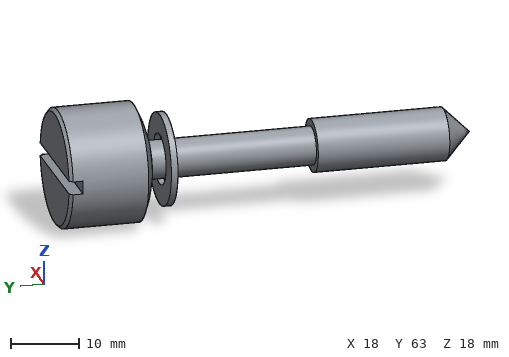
import cadquery as cq
import math

total_length = 63.0

head_diameter = 18.0
head_length = 12.0
head_chamfer = 0.5
dome_radius = 19.0
slot_width = 2.0
slot_depth = 2.0

neck_diameter = 5.8
shank_diameter = 8.0
shank_length = 20.0
tip_angle = 90.0

washer_diameter = 14.0
washer_hole_diameter = 7.7
washer_thickness = 1.0
washer_head_distance = 4.0

head_radius = head_diameter / 2
neck_radius = neck_diameter / 2
shank_radius = shank_diameter / 2

tip_length = shank_radius / math.tan(math.radians(tip_angle / 2))
shank_end = tip_length + shank_length
dome_rim = total_length - head_length
dome_center = dome_rim + math.sqrt(dome_radius**2 - head_radius**2)


def dome_y(radius):
    """Position along the axis of the dome surface at a given radius."""
    return dome_center - math.sqrt(dome_radius**2 - radius**2)


def make_screw():
    """Captive screw: revolved half profile with a driver slot across the head."""
    arc_middle_radius = (neck_radius + head_radius) / 2
    body = (
        cq.Workplane("XY")
        .moveTo(0, 0)
        .lineTo(shank_radius, tip_length)
        .lineTo(shank_radius, shank_end)
        .lineTo(neck_radius, shank_end)
        .lineTo(neck_radius, dome_y(neck_radius))
        .threePointArc((arc_middle_radius, dome_y(arc_middle_radius)), (head_radius, dome_rim))
        .lineTo(head_radius, total_length - head_chamfer)
        .lineTo(head_radius - head_chamfer, total_length)
        .lineTo(0, total_length)
        .close()
        .revolve(360, (0, 0, 0), (0, 1, 0))
    )
    slot = (
        cq.Workplane("XY")
        .box(head_diameter, slot_depth, slot_width)
        .translate((0, total_length - slot_depth / 2, 0))
    )
    return body.cut(slot)


def make_washer():
    """Flat ring centred on the screw axis, clear of the neck."""
    washer_back = dome_rim - washer_head_distance
    return (
        cq.Workplane("XZ", origin=(0, washer_back, 0))
        .circle(washer_diameter / 2)
        .circle(washer_hole_diameter / 2)
        .extrude(washer_thickness)
    )


screw = make_screw()
washer = make_washer()

result = cq.Compound.makeCompound([screw.val(), washer.val()])